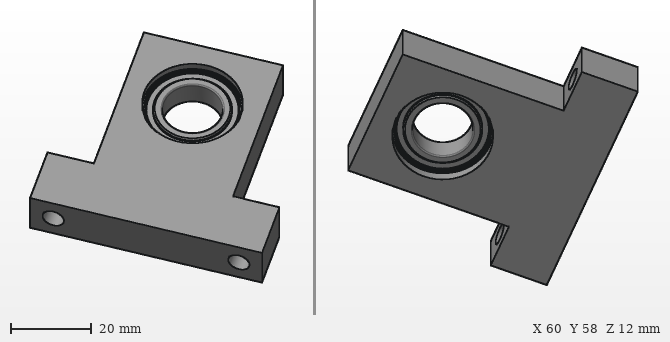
import cadquery as cq

thickness = 12.0
foot_length = 60.0
foot_depth = 15.0
stem_width = 36.0
total_depth = 58.0
stem_end_y = stem_width / 2
foot_front_y = stem_end_y - total_depth
foot_back_y = foot_front_y + foot_depth

mount_hole_diameter = 5.5
mount_hole_spacing = 48.0

bearing_outer_radius = 12.5
bearing_bore_radius = 7.5
bearing_width = 7.0
bearing_recess = 2.0
bearing_top_z = thickness - bearing_recess
bearing_bottom_z = bearing_top_z - bearing_width
bore_fillet = 0.35

ring_split_radius = 9.75
inner_ring_chamfer = 0.4

rim_inner_radius = 12.05
ledge_inner_radius = 11.65
ledge_recess = rim_inner_radius - ledge_inner_radius
shield_inner_radius = 9.85
shield_recess = 0.5
shield_chamfer = 0.25
groove_recess = shield_recess + shield_chamfer


def make_housing():
    """T-shaped plate with a bearing bore and two mounting holes."""
    foot = (
        cq.Workplane("XY")
        .box(foot_length, foot_depth, thickness, centered=(True, False, False))
        .translate((0, foot_front_y, 0))
    )
    stem = (
        cq.Workplane("XY")
        .box(stem_width, stem_end_y - foot_back_y, thickness, centered=(True, False, False))
        .translate((0, foot_back_y, 0))
    )
    bore = cq.Workplane("XY").circle(bearing_outer_radius).extrude(thickness)
    mount_holes = (
        cq.Workplane("XZ", origin=(0, foot_back_y, thickness / 2))
        .pushPoints([(side * mount_hole_spacing / 2, 0) for side in (-1, 1)])
        .circle(mount_hole_diameter / 2)
        .extrude(foot_depth)
    )
    return foot.union(stem).cut(bore).cut(mount_holes)


def make_inner_ring():
    """Ring with a rounded bore and chamfered outer edges."""
    ring = (
        cq.Workplane("XY")
        .workplane(offset=bearing_bottom_z)
        .circle(ring_split_radius)
        .extrude(bearing_width)
        .faces("<Z or >Z")
        .chamfer(inner_ring_chamfer)
    )
    ring = ring.faces(">Z").workplane().hole(2 * bearing_bore_radius)
    return ring.edges(cq.selectors.RadiusNthSelector(0)).fillet(bore_fillet)


def make_outer_ring():
    """Ring with a narrow rim, a ledge and a chamfered sunken shield, alike on both faces."""
    steps = [
        (bearing_outer_radius, 0),
        (rim_inner_radius, 0),
        (rim_inner_radius, ledge_recess),
        (ledge_inner_radius, ledge_recess),
        (ledge_inner_radius, groove_recess),
        (ledge_inner_radius - shield_chamfer, shield_recess),
        (shield_inner_radius, shield_recess),
        (shield_inner_radius, groove_recess),
        (ring_split_radius, groove_recess),
    ]
    upper_half = [(radius, bearing_top_z - recess) for radius, recess in steps]
    lower_half = [(radius, bearing_bottom_z + recess) for radius, recess in reversed(steps)]
    profile = cq.Workplane("XZ").polyline(upper_half + lower_half).close()
    return profile.revolve(360, (0, 0, 0), (0, 1, 0))


housing = make_housing()
inner_ring = make_inner_ring()
outer_ring = make_outer_ring()

result = cq.Compound.makeCompound([housing.val(), inner_ring.val(), outer_ring.val()])